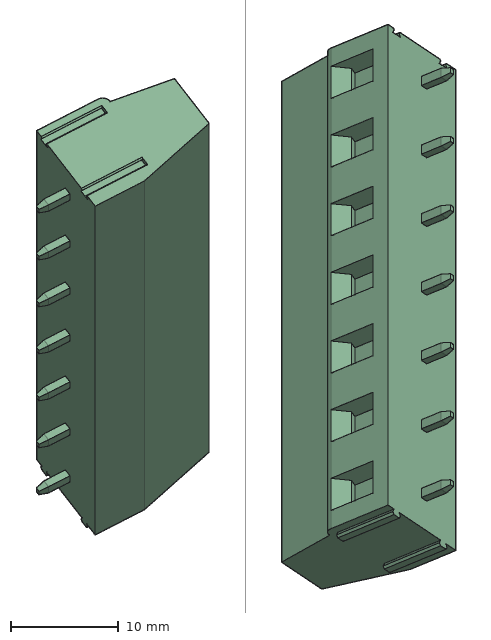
import cadquery as cq


pole_count = 7
pole_pitch = 7.5
body_height = pole_count * pole_pitch

body_width = 10.2
body_depth = 14.0
shoulder_width = 0.83
shoulder_y = 7.55
shoulder_radius = 0.8
top_left_x = 1.8
top_right_x = 7.85
back_slope_start_y = 5.4

mouth_y_min = 1.8
mouth_y_max = shoulder_y - shoulder_radius
mouth_height = 3.5
floor_y_min = 2.3
floor_y_max = 5.3
floor_height = 2.6
entry_depth = 1.75

ramp_depth = 1.1
ramp_end_y = 5.2

pin_x = 5.4
pin_width = 0.8
pin_height = 1.0
pin_length = 3.3
pin_tip_length = 0.95
pin_tip_width = 0.45
pin_tip_height = 0.55
pin_embed = 0.5

rail_centers_x = (1.3, 8.29)
rail_length = 6.65
rail_neck_width = 0.8
rail_max_width = 1.15
rail_height = 0.6
rail_widest_drop = 0.35
groove_depth = 0.5
groove_mouth_width = 1.0
groove_throat_width = 0.7
groove_throat_depth = 0.15
groove_floor_width = 1.12


def rectangle_wire(plane, width, height):
    """Rectangle centred on the plane's origin."""
    return cq.Workplane(plane).rect(width, height).wires().val()


def make_housing():
    """Constant cross-section with a rounded shoulder, extruded along all poles."""
    return (
        cq.Workplane("XY")
        .polyline([
            (shoulder_radius, shoulder_y),
            (shoulder_width, shoulder_y),
            (top_left_x, body_depth),
            (top_right_x, body_depth),
            (body_width, back_slope_start_y),
            (body_width, 0),
            (0, 0),
            (0, shoulder_y - shoulder_radius),
        ])
        .radiusArc((shoulder_radius, shoulder_y), shoulder_radius)
        .close()
        .extrude(body_height)
    )


def make_wire_entry(pole_z):
    """Funnel in the -X face; a ramp on its +Y side ends in a slightly undercut step."""
    def section(x, y_max, taper_share):
        y_min = mouth_y_min + taper_share * (floor_y_min - mouth_y_min)
        height = mouth_height + taper_share * (floor_height - mouth_height)
        plane = cq.Plane(origin=(x, (y_min + y_max) / 2, pole_z), xDir=(0, 1, 0), normal=(1, 0, 0))
        return rectangle_wire(plane, y_max - y_min, height)

    mouth = section(0, mouth_y_max, 0)
    ramp_end = section(ramp_depth, ramp_end_y, ramp_depth / entry_depth)
    floor = section(entry_depth, floor_y_max, 1)
    ramped_part = cq.Workplane(cq.Solid.makeLoft([mouth, ramp_end], True))
    stepped_part = cq.Workplane(cq.Solid.makeLoft([ramp_end, floor], True))
    return ramped_part.union(stepped_part)


def make_pin(pole_z):
    """Rectangular pin with a tip tapered on all four sides."""
    def plane_at(y):
        return cq.Plane(origin=(pin_x, y, pole_z), xDir=(1, 0, 0), normal=(0, -1, 0))

    taper_y = pin_tip_length - pin_length
    shank = (
        cq.Workplane(plane_at(pin_embed))
        .rect(pin_width, pin_height)
        .extrude(pin_embed - taper_y)
    )
    tip_base = rectangle_wire(plane_at(taper_y), pin_width, pin_height)
    tip_end = rectangle_wire(plane_at(-pin_length), pin_tip_width, pin_tip_height)
    tip = cq.Workplane(cq.Solid.makeLoft([tip_base, tip_end], True))
    return shank.union(tip)


def extrude_rail_profile(points):
    """Extrude an XZ outline from Y=0 over the rail length."""
    return cq.Workplane("XZ").polyline(points).close().extrude(-rail_length)


def make_rail(center_x):
    """Six-sided rail below the housing, widest part-way down."""
    neck = rail_neck_width / 2
    widest = rail_max_width / 2
    return extrude_rail_profile([
        (center_x - neck, 0),
        (center_x - widest, -rail_widest_drop),
        (center_x - neck, -rail_height),
        (center_x + neck, -rail_height),
        (center_x + widest, -rail_widest_drop),
        (center_x + neck, 0),
    ])


def make_groove(center_x):
    """Groove in the top end, pinched to a throat between its mouth and its wider floor."""
    mouth = groove_mouth_width / 2
    throat = groove_throat_width / 2
    floor = groove_floor_width / 2
    throat_z = body_height - groove_throat_depth
    floor_z = body_height - groove_depth
    return extrude_rail_profile([
        (center_x - mouth, body_height),
        (center_x - throat, throat_z),
        (center_x - floor, floor_z),
        (center_x + floor, floor_z),
        (center_x + throat, throat_z),
        (center_x + mouth, body_height),
    ])


result = make_housing()

for rail_x in rail_centers_x:
    result = result.union(make_rail(rail_x)).cut(make_groove(rail_x))

for pole in range(pole_count):
    pole_center_z = (pole + 0.5) * pole_pitch
    result = result.cut(make_wire_entry(pole_center_z)).union(make_pin(pole_center_z))